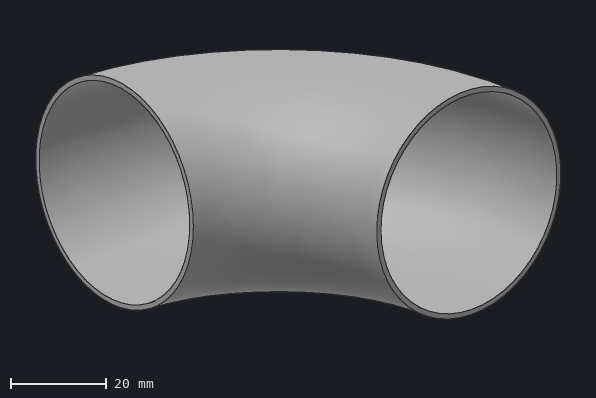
import cadquery as cq

outer_reach = 78.0
outer_diameter = 50.8
wall = 1.2
bend_angle = 90.0

outer_radius = outer_diameter / 2
inner_radius = outer_radius - wall
bend_radius = outer_reach - outer_radius

section = (
    cq.Workplane("XZ")
    .center(-bend_radius, 0)
    .circle(outer_radius)
    .circle(inner_radius)
)

axis_start = (bend_radius, 0)
axis_end = (bend_radius, -1)
result = section.revolve(bend_angle, axis_start, axis_end)